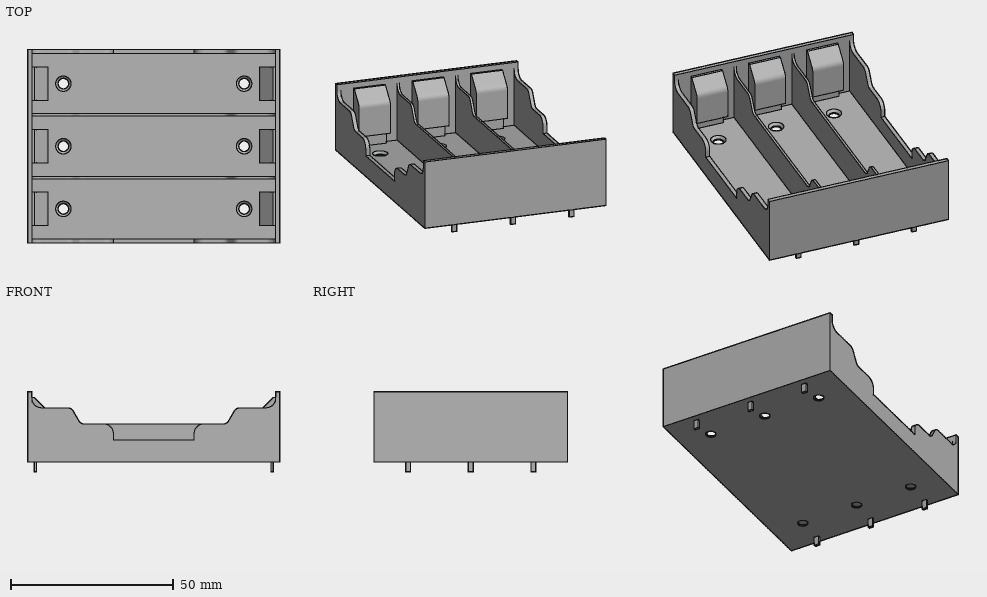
import cadquery as cq
import math


length = 77.7
tray_height = 21.7
outer_wall = 1.3
divider = 0.8
bay_width = 18.5
bay_count = 3
floor_thickness = 1.2
width = bay_count * bay_width + (bay_count - 1) * divider + 2 * outer_wall
bay_pitch = bay_width + divider
bay_centers = [(i - (bay_count - 1) / 2) * bay_pitch for i in range(bay_count)]
half_length = length / 2
inner_half = half_length - outer_wall

shoulder_z = 16.7
waist_z = 11.7
ramp_angle = math.radians(60)
ramp_foot = 22.45
ramp_head = ramp_foot + (shoulder_z - waist_z) / math.tan(ramp_angle)
ramp_radius = 2.0
corner_radius = 2.95

notch_half = 12.4
notch_z = 6.75

contact_width = 10.25
contact_reach = 6.4
contact_top = 19.9
contact_bottom = 5.6
contact_flat = 2.1
contact_radius = 2.3
leg_reach = 2.8
pin_thickness = 0.8
pin_width = 1.55
pin_length = 3.0

hole_inset = 11.0
hole_diameter = 3.2
countersink_diameter = 4.75


def box(x_min, x_max, y_center, y_size, z_min, z_max):
    """Box given by its X and Z limits and its place across the tray."""
    return (
        cq.Workplane("XY")
        .box(x_max - x_min, y_size, z_max - z_min, centered=(False, True, False))
        .translate((x_min, y_center, z_min))
    )


def both_ends(shape):
    """The shape together with its mirror image at the other end of the tray."""
    return shape.union(shape.mirror("YZ"))


def fillet_nearest(shape, corners, radius):
    """Round the edges along Y that stand at the given (x, z) corners."""
    for x, z in corners:
        at_corner = cq.selectors.NearestToPointSelector((x, 0, z))
        shape = shape.edges("|Y").edges(at_corner).fillet(radius)
    return shape


def tray_body():
    body = box(-half_length, half_length, 0, width, 0, tray_height)
    for y in bay_centers:
        body = body.cut(box(-inner_half, inner_half, y, bay_width, floor_thickness, tray_height))
    return body


def wall_top_cutter():
    """Space above the long walls and dividers, between the end walls."""
    right_side = [
        (ramp_foot, waist_z),
        (ramp_head, shoulder_z),
        (inner_half, shoulder_z),
        (inner_half, tray_height),
    ]
    left_side = [(-x, z) for x, z in reversed(right_side)]
    cutter = (
        cq.Workplane("XZ")
        .polyline(right_side + left_side)
        .close()
        .extrude(width / 2, both=True)
    )
    cutter = fillet_nearest(cutter, [(ramp_foot, waist_z), (-ramp_foot, waist_z)], ramp_radius)
    cutter = fillet_nearest(cutter, [(ramp_head, shoulder_z), (-ramp_head, shoulder_z)], ramp_radius)
    return fillet_nearest(cutter, [(inner_half, shoulder_z), (-inner_half, shoulder_z)], corner_radius)


def notch_cutter(y_wall):
    """Finger notch through one outer wall, with its upper corners rounded outward."""
    return (
        cq.Workplane("XZ")
        .moveTo(-notch_half, notch_z)
        .lineTo(notch_half, notch_z)
        .lineTo(notch_half, waist_z - corner_radius)
        .radiusArc((notch_half + corner_radius, waist_z), corner_radius)
        .lineTo(-notch_half - corner_radius, waist_z)
        .radiusArc((-notch_half, waist_z - corner_radius), corner_radius)
        .close()
        .extrude(outer_wall / 2, both=True)
        .translate((0, y_wall, 0))
    )


def contact(y):
    """Contact on the -X end wall: bevelled head, leg down to the floor and solder pin."""
    bevel_drop = contact_reach - contact_flat
    head = (
        cq.Workplane("XZ")
        .polyline([
            (-inner_half, contact_bottom),
            (-half_length + contact_reach, contact_bottom),
            (-half_length + contact_reach, contact_top - bevel_drop),
            (-half_length + contact_flat, contact_top),
            (-inner_half, contact_top),
        ])
        .close()
        .extrude(contact_width / 2, both=True)
    )
    nose = (-half_length + contact_reach, contact_top - bevel_drop)
    head = fillet_nearest(head, [nose], contact_radius).translate((0, y, 0))
    leg_front = -half_length + leg_reach
    leg = box(-inner_half, leg_front, y, contact_width, floor_thickness, contact_bottom)
    pin = box(leg_front - pin_thickness, leg_front, y, pin_width, -pin_length, floor_thickness)
    return head.union(leg).union(pin)


def hole_cutter(x, y):
    """Through hole in the floor with a 45 degree countersink from above."""
    sink_depth = (countersink_diameter - hole_diameter) / 2
    drill = cq.Workplane("XY").circle(hole_diameter / 2).extrude(floor_thickness)
    sink = cq.Solid.makeCone(
        hole_diameter / 2,
        countersink_diameter / 2,
        sink_depth,
        pnt=cq.Vector(0, 0, floor_thickness - sink_depth),
    )
    return drill.union(cq.Workplane(sink)).translate((x, y, 0))


holder = tray_body().cut(wall_top_cutter())
for side in (-1, 1):
    holder = holder.cut(notch_cutter(side * (width - outer_wall) / 2))
for y in bay_centers:
    holder = holder.cut(both_ends(hole_cutter(half_length - hole_inset, y)))
    holder = holder.union(both_ends(contact(y)))

result = holder